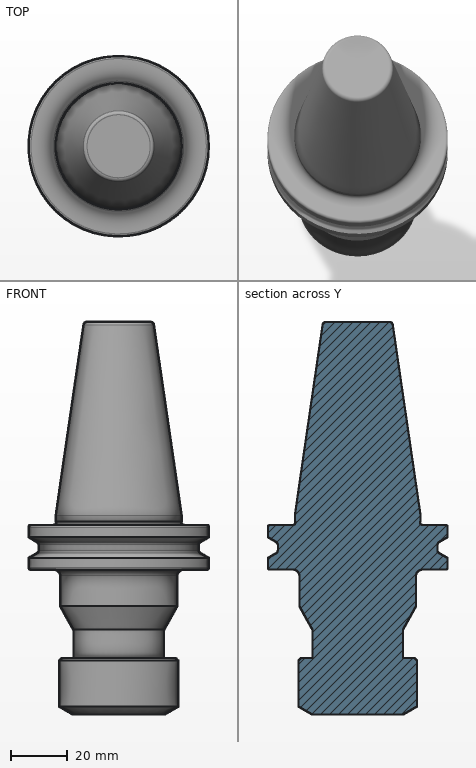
import cadquery as cq
import math


gauge_radius = 44.45 / 2
shank_length = 68.25
taper_per_length = 7 / 24
shank_top_fillet = 1.35

relief_top_z = -2.1
relief_depth = 0.25
relief_fillet = 0.9

flange_radius = 63.5 / 2
flange_top_z = -3.175
flange_bottom_z = -19.05
flange_fillet = 0.9

groove_center_z = -11.2
groove_floor_radius = 28.2
groove_floor_width = 3.2
groove_wall_angle = math.radians(30)
groove_fillet = 0.9

neck_radius = 20.65
neck_fillet = 2.0
neck_bottom_z = -31.75
waist_radius = 16.0
waist_top_z = -40.1

nut_radius = 21.0
nut_top_z = -50.0
nut_bottom_z = -70.0
nut_top_chamfer = 1.0
nut_nose_radius = 16.0
nut_nose_angle = math.radians(30)


def revolve_profile(profile):
    """Close a half profile drawn in the XZ plane and turn it about Z."""
    return profile.close().revolve(360, (0, 0, 0), (0, 1, 0))


def make_shank():
    top_radius = gauge_radius - shank_length * taper_per_length / 2
    relief_radius = gauge_radius - relief_depth
    profile = (
        cq.Workplane("XZ")
        .moveTo(0, shank_length)
        .lineTo(top_radius, shank_length)
        .lineTo(gauge_radius, 0)
        .lineTo(gauge_radius, relief_top_z)
        .lineTo(relief_radius, relief_top_z)
        .lineTo(relief_radius, flange_top_z + relief_fillet)
        .radiusArc((relief_radius + relief_fillet, flange_top_z), -relief_fillet)
        .lineTo(0, flange_top_z)
    )
    return revolve_profile(profile).edges(">Z").fillet(shank_top_fillet)


def make_groove_ring():
    """Ring that cuts the V-groove, with rounded corners at the groove floor."""
    depth = flange_radius - groove_floor_radius
    floor_half = groove_floor_width / 2
    mouth_half = floor_half + depth * math.tan(groove_wall_angle)
    profile = (
        cq.Workplane("XZ")
        .moveTo(groove_floor_radius, groove_center_z + floor_half)
        .lineTo(flange_radius, groove_center_z + mouth_half)
        .lineTo(flange_radius, groove_center_z - mouth_half)
        .lineTo(groove_floor_radius, groove_center_z - floor_half)
    )
    floor_corners = cq.selectors.RadiusNthSelector(0)
    return revolve_profile(profile).edges("%CIRCLE").edges(floor_corners).fillet(groove_fillet)


def make_flange():
    blank = (
        cq.Workplane("XY", origin=(0, 0, flange_bottom_z))
        .circle(flange_radius)
        .extrude(flange_top_z - flange_bottom_z)
        .edges("%CIRCLE")
        .fillet(flange_fillet)
    )
    return blank.cut(make_groove_ring())


def make_neck():
    profile = (
        cq.Workplane("XZ")
        .moveTo(0, flange_bottom_z)
        .lineTo(neck_radius + neck_fillet, flange_bottom_z)
        .radiusArc((neck_radius, flange_bottom_z - neck_fillet), -neck_fillet)
        .lineTo(neck_radius, neck_bottom_z)
        .lineTo(waist_radius, waist_top_z)
        .lineTo(waist_radius, nut_top_z)
        .lineTo(0, nut_top_z)
    )
    return revolve_profile(profile)


def make_nut():
    nose_height = (nut_radius - nut_nose_radius) * math.tan(nut_nose_angle)
    profile = (
        cq.Workplane("XZ")
        .moveTo(0, nut_top_z)
        .lineTo(nut_radius, nut_top_z)
        .lineTo(nut_radius, nut_bottom_z + nose_height)
        .lineTo(nut_nose_radius, nut_bottom_z)
        .lineTo(0, nut_bottom_z)
    )
    return revolve_profile(profile).edges(">Z").chamfer(nut_top_chamfer)


result = make_shank().union(make_flange()).union(make_neck()).union(make_nut())